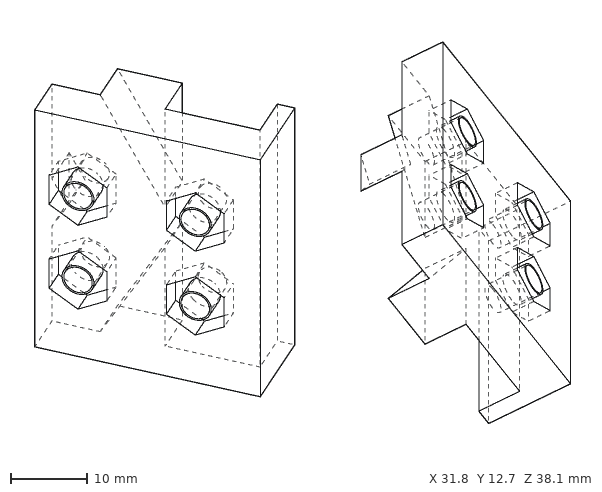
import cadquery as cq
import math

WIDTH = 31.75
HEIGHT = 38.1
TOTAL_DEPTH = 12.7
PLATE_THICKNESS = TOTAL_DEPTH / 2
MID_HEIGHT = HEIGHT / 2

DIAGONAL_SLOPE = math.tan(math.radians(60))
RIGHT_WALL_WIDTH = 2.48
UPRIGHT_CHANNEL_WIDTH = 13.35
LEFT_WEDGE_REACH = 2.2
BLOCK_TOP_WIDTH = 9.15

HOLE_LEFT_X = 6.1
HOLE_SPACING_X = 16.5
HOLE_SPACING_Z = 13.5
HOLE_DIAMETER = 4.0
SLEEVE_DIAMETER = 4.5
NUT_ACROSS_FLATS = 8.1
NUT_POCKET_DEPTH = 3.4


def guide(outline):
    """Extrude a closed (x, z) outline toward +Y, from the plate's front to the full depth."""
    return cq.Workplane("XZ").polyline(outline).close().extrude(-TOTAL_DEPTH)


def make_plate():
    return cq.Workplane("XY").box(WIDTH, PLATE_THICKNESS, HEIGHT, centered=False)


def make_right_wall():
    wall = cq.Workplane("XY").box(RIGHT_WALL_WIDTH, TOTAL_DEPTH, HEIGHT, centered=False)
    return wall.translate((WIDTH - RIGHT_WALL_WIDTH, 0, 0))


def make_left_wedge():
    half_height = LEFT_WEDGE_REACH * DIAGONAL_SLOPE
    return guide([
        (0, MID_HEIGHT - half_height),
        (LEFT_WEDGE_REACH, MID_HEIGHT),
        (0, MID_HEIGHT + half_height),
    ])


def make_corner_block(edge_z, inward):
    """Right triangle on the plate edge at edge_z; inward (+1 or -1) points to mid height."""
    right_x = WIDTH - RIGHT_WALL_WIDTH - UPRIGHT_CHANNEL_WIDTH
    tip_z = edge_z + inward * BLOCK_TOP_WIDTH * DIAGONAL_SLOPE
    return guide([
        (right_x - BLOCK_TOP_WIDTH, edge_z),
        (right_x, edge_z),
        (right_x, tip_z),
    ])


def make_nut_seat_cutters():
    """Cutters for one hole: a hexagonal pocket that leaves a sleeve standing, and the bore."""
    plane = cq.Workplane("XZ")
    across_corners = NUT_ACROSS_FLATS / math.cos(math.radians(30))
    pocket = plane.polygon(6, across_corners).extrude(-NUT_POCKET_DEPTH)
    pocket = pocket.rotate((0, 0, 0), (0, 1, 0), 30)
    sleeve = plane.circle(SLEEVE_DIAMETER / 2).extrude(-NUT_POCKET_DEPTH)
    bore = plane.circle(HOLE_DIAMETER / 2).extrude(-TOTAL_DEPTH)
    return pocket.cut(sleeve), bore


result = make_plate()
result = result.union(make_right_wall())
result = result.union(make_left_wedge())
result = result.union(make_corner_block(HEIGHT, -1))
result = result.union(make_corner_block(0, 1))

pocket_ring, bore = make_nut_seat_cutters()
for column in (0, 1):
    for side in (-1, 1):
        x = HOLE_LEFT_X + column * HOLE_SPACING_X
        z = MID_HEIGHT + side * HOLE_SPACING_Z / 2
        result = result.cut(pocket_ring.translate((x, 0, z)))
        result = result.cut(bore.translate((x, 0, z)))